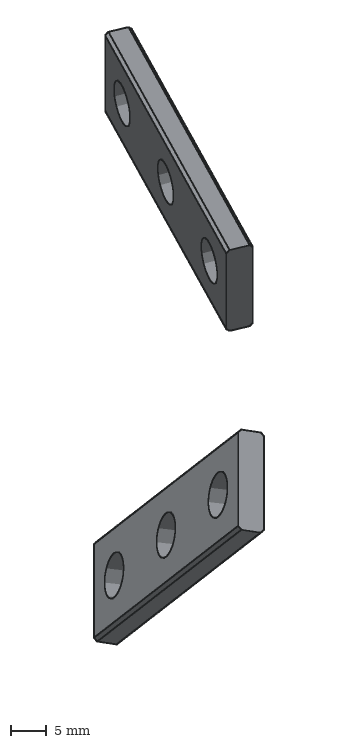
import cadquery as cq

length = 50.0
thickness = 4.0
height = 15.0
edge_chamfer = 0.5

hole_pitch = 18.0
middle_hole_diameter = 6.5
outer_hole_diameter = 6.6


def make_bar():
    """Bar with its four long edges chamfered."""
    return cq.Workplane("XY").box(length, thickness, height).edges("|X").chamfer(edge_chamfer)


def make_holes(centres, diameter):
    """Cylinders along Y that pass through the full thickness."""
    return (
        cq.Workplane("XZ", origin=(0, thickness / 2, 0))
        .pushPoints(centres)
        .circle(diameter / 2)
        .extrude(thickness)
    )


middle_hole = make_holes([(0, 0)], middle_hole_diameter)
outer_holes = make_holes([(-hole_pitch, 0), (hole_pitch, 0)], outer_hole_diameter)

result = make_bar().cut(middle_hole).cut(outer_holes)